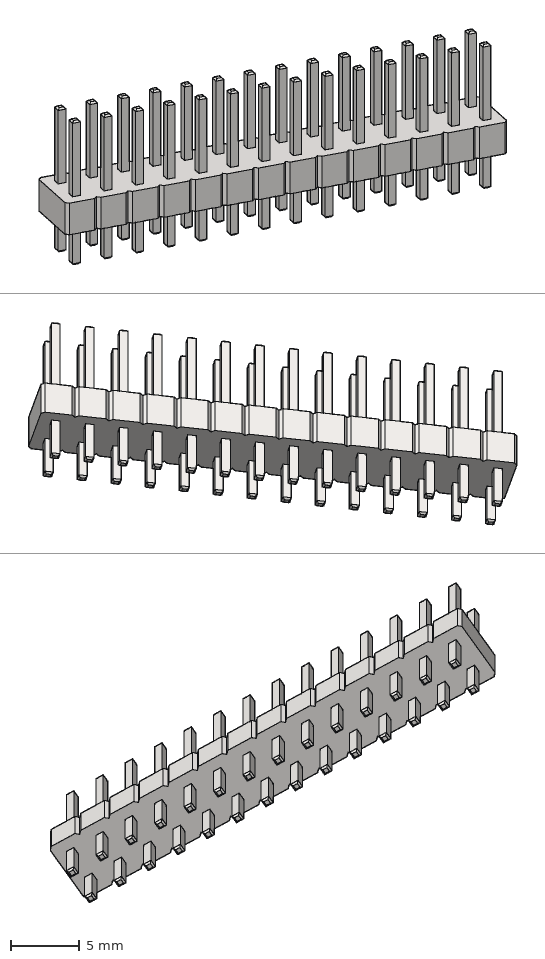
import cadquery as cq

LENGTH = 35.55
ROWS = 14
COLUMNS = 2
PITCH = LENGTH / ROWS

BODY_WIDTH = COLUMNS * PITCH
BODY_HEIGHT = PITCH
CORNER_CUT = 0.25

PIN_SIDE = 0.65
PIN_HEIGHT = 11.55
PIN_BELOW = 3.0
TIP_CHAMFER = 0.15


def body_row(y_center):
    """One row of the body; its cut corners form V notches with its neighbours."""
    return (
        cq.Workplane("XY")
        .center(0, y_center)
        .rect(BODY_WIDTH, PITCH)
        .extrude(BODY_HEIGHT)
        .edges("|Z")
        .chamfer(CORNER_CUT)
    )


def pin(x, y):
    """Square pin through the body, chamfered at both tips."""
    return (
        cq.Workplane("XY", origin=(x, y, -PIN_BELOW))
        .rect(PIN_SIDE, PIN_SIDE)
        .extrude(PIN_HEIGHT)
        .faces("<Z or >Z")
        .chamfer(TIP_CHAMFER)
    )


def centered_positions(count):
    """Positions one pitch apart, centred on zero."""
    return [(i - (count - 1) / 2) * PITCH for i in range(count)]


row_positions = centered_positions(ROWS)
column_positions = centered_positions(COLUMNS)

result = body_row(row_positions[0])
for y in row_positions[1:]:
    result = result.union(body_row(y))

for y in row_positions:
    for x in column_positions:
        result = result.union(pin(x, y))

result = result.clean()